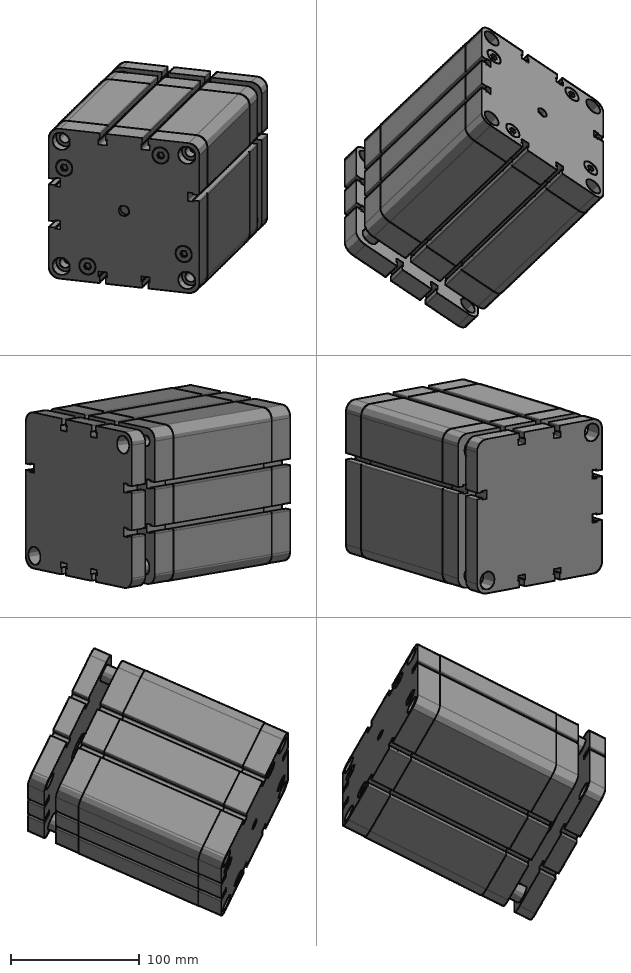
import cadquery as cq
import math

width = 124.0
length = 165.5
plate_thickness = 14.0
plate_gap = 10.0
cap_length = 19.4
barrel_corner_radius = 9.25
end_setback = 0.25
end_width = width - 2 * end_setback
end_corner_radius = barrel_corner_radius - end_setback

body_length = length - plate_thickness - plate_gap
barrel_length = body_length - 2 * cap_length
plate_start = length - plate_thickness

slot_offset = 17.5
slot_neck_width = 5.0
slot_depth = 9.5
slot_undercut_depth = 5.4
slot_undercut_width = 7.0
slot_edge_radius = 0.6

mount_offset = 51.5
mount_hole_diameter = 8.38
mount_bore_diameter = 14.0
mount_bore_depth = 9.0
plate_hole_diameter = mount_bore_diameter

screw_offset_near = 30.0
screw_offset_far = 49.0
screw_bore_diameter = 13.5
screw_head_diameter = 13.0
screw_ring_depth = 5.0
hex_across_flats = 5.0
hex_depth = 3.0

centre_hole_diameter = 8.38
centre_hole_depth = 4.0

guide_offset = 48.4
guide_diameter = 14.0
piston_diameter = 25.0
piston_flat_width = 22.0
piston_flat_end_gap = 2.0
piston_flat_slope = 1.3
piston_tip_length = 1.7
piston_tip_diameter = 23.0


def xz_plane(y):
    """Sketch plane at the given Y whose normal points along +Y and whose local axes are X and -Z."""
    return cq.Workplane(cq.Plane(origin=(0, y, 0), xDir=(1, 0, 0), normal=(0, 1, 0)))


def cylinder(x, z, y, diameter, depth):
    return xz_plane(y).center(x, -z).circle(diameter / 2).extrude(depth)


def rounded_block(y, depth, size, corner_radius):
    return xz_plane(y).rect(size, size).extrude(depth).edges("|Y").fillet(corner_radius)


def slot_cutter(offset, size):
    """Undercut slot in the top face of a block of the given size, centred at X = offset."""
    top = size / 2
    floor = top - slot_depth
    step = top - slot_undercut_depth
    neck = slot_neck_width / 2
    undercut = slot_undercut_width / 2
    r = slot_edge_radius
    return (
        cq.Workplane("XZ", origin=(offset, length, 0))
        .moveTo(-neck - r, top)
        .radiusArc((-neck, top - r), r)
        .lineTo(-neck, step)
        .lineTo(-undercut, step)
        .lineTo(-undercut, floor + r)
        .radiusArc((-undercut + r, floor), -r)
        .lineTo(undercut - r, floor)
        .radiusArc((undercut, floor + r), -r)
        .lineTo(undercut, step)
        .lineTo(neck, step)
        .lineTo(neck, top - r)
        .radiusArc((neck + r, top), r)
        .close()
        .extrude(length)
    )


def cut_slots(part, size):
    slots = [
        (0, slot_offset),
        (0, -slot_offset),
        (180, slot_offset),
        (180, -slot_offset),
        (-90, slot_offset),
        (-90, -slot_offset),
        (90, -slot_offset),
    ]
    for angle, offset in slots:
        part = part.cut(slot_cutter(offset, size).rotate((0, 0, 0), (0, 1, 0), angle))
    return part


def slotted_end_block(y, depth):
    """Block for an end cap or the yoke plate, with the sensor slots running through it."""
    return cut_slots(rounded_block(y, depth, end_width, end_corner_radius), end_width)


def cut_mounting_holes(part):
    for sx in (-1, 1):
        for sz in (-1, 1):
            x = sx * mount_offset
            z = sz * mount_offset
            behind_guide_rod = sx == sz
            hole_depth = cap_length if behind_guide_rod else body_length
            part = part.cut(cylinder(x, z, 0, mount_hole_diameter, hole_depth))
            part = part.cut(cylinder(x, z, 0, mount_bore_diameter, mount_bore_depth))
            if not behind_guide_rod:
                part = part.cut(cylinder(x, z, plate_start, plate_hole_diameter, plate_thickness))
    return part


def cut_screw_details(part):
    near = screw_offset_near
    far = screw_offset_far
    for x, z in [(near, far), (-far, near), (-near, -far), (far, -near)]:
        ring = cylinder(x, z, 0, screw_bore_diameter, screw_ring_depth).cut(
            cylinder(x, z, 0, screw_head_diameter, screw_ring_depth)
        )
        socket = (
            xz_plane(0)
            .center(x, -z)
            .polygon(6, hex_across_flats / math.cos(math.pi / 6))
            .extrude(hex_depth)
        )
        part = part.cut(ring).cut(socket)
    return part


def guide_rods():
    rods = cylinder(guide_offset, guide_offset, body_length, guide_diameter, plate_gap)
    return rods.union(cylinder(-guide_offset, -guide_offset, body_length, guide_diameter, plate_gap))


def piston_rod():
    """Rod with a conical tip and two wrench flats that run out on sloped ends."""
    radius = piston_diameter / 2
    rod = (
        cq.Workplane("XY")
        .moveTo(0, body_length)
        .lineTo(radius, body_length)
        .lineTo(radius, plate_start - piston_tip_length)
        .lineTo(piston_tip_diameter / 2, plate_start)
        .lineTo(0, plate_start)
        .close()
        .revolve(360, (0, 0, 0), (0, 1, 0))
    )
    flat_x = piston_flat_width / 2
    slope_start = body_length + piston_flat_end_gap
    flat = (
        cq.Workplane("XY")
        .moveTo(radius, slope_start)
        .lineTo(flat_x, slope_start + piston_flat_slope)
        .lineTo(flat_x, plate_start)
        .lineTo(piston_diameter, plate_start)
        .lineTo(piston_diameter, slope_start)
        .close()
        .extrude(radius, both=True)
    )
    return rod.cut(flat).cut(flat.mirror("YZ"))


barrel = rounded_block(cap_length, barrel_length, width, barrel_corner_radius)
barrel = cut_slots(barrel, width)

front_cap = slotted_end_block(0, cap_length)
rear_cap = slotted_end_block(body_length - cap_length, cap_length)
plate = slotted_end_block(plate_start, plate_thickness)

result = front_cap.union(barrel).union(rear_cap).union(guide_rods()).union(piston_rod()).union(plate)
result = cut_mounting_holes(result)
result = cut_screw_details(result)
result = result.cut(cylinder(0, 0, 0, centre_hole_diameter, centre_hole_depth))